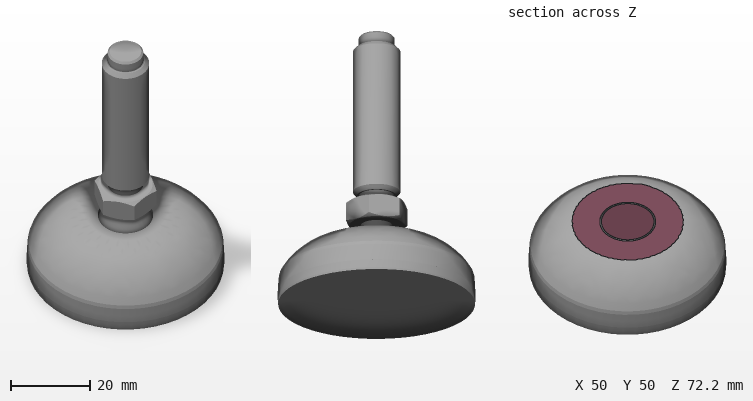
import cadquery as cq
import math

HEIGHT = 72.2
PAD_TOP = 2.6
RIM_TOP = 6.85
DOME_BASE = 7.8
DOME_TOP = 16.6
NECK_BASE = 19.1
HEX_BASE = 21.15
HEX_TOP = 27.15
ROD_BASE = 29.2
ROD_TOP = 69.2

FOOT_RADIUS = 50.0 / 2
RIM_TOP_RADIUS = 24.8
PAD_EDGE_HEIGHT = 0.5
PAD_SIDE_INSET = 0.1
PAD_BOTTOM_INSET = 0.15
DOME_FLAT_RADIUS = 18.05 / 2
DOME_ARC_RADIUS = 18.0
SOCKET_MOUTH_RADIUS = 14.0 / 2

BALL_RADIUS = 14.5 / 2
NECK_RADIUS = 8.1 / 2
SHANK_RADIUS = 9.0 / 2
ROD_RADIUS = 12.0 / 2
ROD_CHAMFER = 1.0
TIP_CHAMFER = 0.5
HEX_ACROSS_FLATS = 14.0
HEX_FACE_RADIUS = 13.7 / 2
HEX_CHAMFER_ANGLE = 30.0
HEX_SIDES = 6
HEX_HALF_SECTOR = 180.0 / HEX_SIDES

BALL_CENTER_Z = NECK_BASE - math.sqrt(BALL_RADIUS**2 - NECK_RADIUS**2)


def cylinder(radius, bottom, top):
    return cq.Workplane("XY").workplane(offset=bottom).circle(radius).extrude(top - bottom)


def revolve_profile(profile):
    """Revolve a closed (radius, height) outline about the Z axis."""
    return profile.close().revolve(360, (0, 0, 0), (0, 1, 0))


def make_ball():
    return cq.Workplane("XY").sphere(BALL_RADIUS).translate((0, 0, BALL_CENTER_Z))


def make_pad():
    """Flat pad that tapers slightly downward, more so along its lower edge."""
    return revolve_profile(
        cq.Workplane("XZ")
        .lineTo(FOOT_RADIUS - PAD_BOTTOM_INSET, 0)
        .lineTo(FOOT_RADIUS - PAD_SIDE_INSET, PAD_EDGE_HEIGHT)
        .lineTo(FOOT_RADIUS, PAD_TOP)
        .lineTo(0, PAD_TOP)
    )


def dome_radius_at(height):
    """Radius of the dome, whose arc runs level into the flat top."""
    arc_height = height - (DOME_TOP - DOME_ARC_RADIUS)
    return DOME_FLAT_RADIUS + math.sqrt(DOME_ARC_RADIUS**2 - arc_height**2)


def make_foot():
    """Domed foot with a ball socket that opens through its flat top."""
    dome_middle = (DOME_BASE + DOME_TOP) / 2
    foot = revolve_profile(
        cq.Workplane("XZ")
        .moveTo(0, PAD_TOP)
        .lineTo(FOOT_RADIUS, PAD_TOP)
        .lineTo(RIM_TOP_RADIUS, RIM_TOP)
        .lineTo(dome_radius_at(DOME_BASE), DOME_BASE)
        .threePointArc((dome_radius_at(dome_middle), dome_middle), (DOME_FLAT_RADIUS, DOME_TOP))
        .lineTo(0, DOME_TOP)
    )
    socket_mouth = cylinder(SOCKET_MOUTH_RADIUS, BALL_CENTER_Z, DOME_TOP)
    return foot.cut(make_ball()).cut(socket_mouth)


def make_hex():
    """Wrench hexagon, corners along Y, with its corners turned to a cone at both ends."""
    corner_radius = HEX_ACROSS_FLATS / 2 / math.cos(math.radians(HEX_HALF_SECTOR))
    corner_drop = (corner_radius - HEX_FACE_RADIUS) * math.tan(math.radians(HEX_CHAMFER_ANGLE))
    prism = (
        cq.Workplane("XY")
        .workplane(offset=HEX_BASE)
        .polygon(HEX_SIDES, 2 * corner_radius)
        .extrude(HEX_TOP - HEX_BASE)
        .rotate((0, 0, 0), (0, 0, 1), HEX_HALF_SECTOR)
    )
    turned_envelope = revolve_profile(
        cq.Workplane("XZ")
        .moveTo(0, HEX_BASE)
        .lineTo(HEX_FACE_RADIUS, HEX_BASE)
        .lineTo(corner_radius, HEX_BASE + corner_drop)
        .lineTo(corner_radius, HEX_TOP - corner_drop)
        .lineTo(HEX_FACE_RADIUS, HEX_TOP)
        .lineTo(0, HEX_TOP)
    )
    return prism.intersect(turned_envelope)


def make_spindle():
    """Ball, neck, wrench hexagon, rod and tip in one piece."""
    neck = cylinder(NECK_RADIUS, BALL_CENTER_Z, HEX_BASE)
    shank = cylinder(SHANK_RADIUS, HEX_TOP, ROD_BASE)
    rod = cylinder(ROD_RADIUS, ROD_BASE, ROD_TOP).edges().chamfer(ROD_CHAMFER)
    tip = cylinder(SHANK_RADIUS, ROD_TOP, HEIGHT).faces(">Z").chamfer(TIP_CHAMFER)
    return make_ball().union(neck).union(make_hex()).union(shank).union(rod).union(tip)


pad = make_pad()
foot = make_foot()
spindle = make_spindle()

result = cq.Compound.makeCompound([pad.val(), foot.solids().val(), spindle.solids().val()])